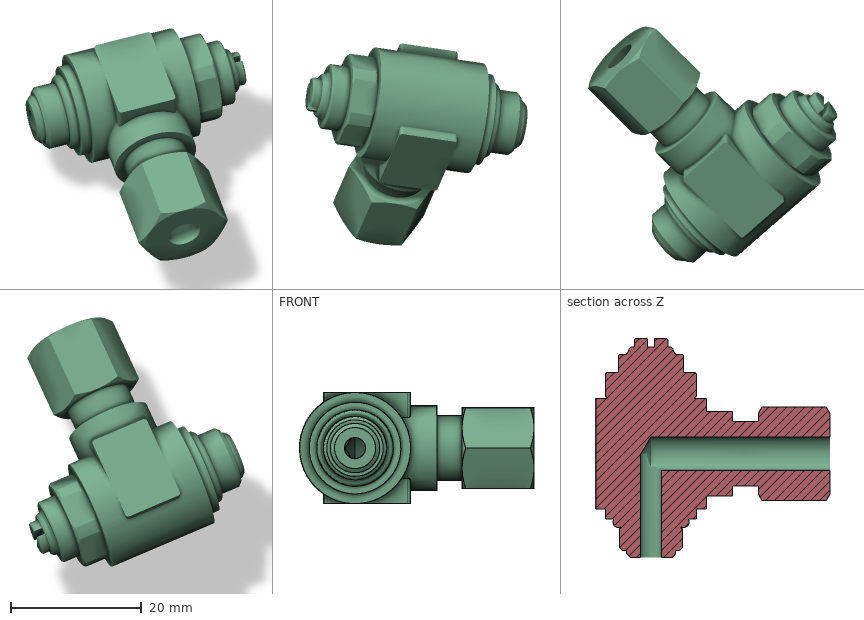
import cadquery as cq
import math


BODY_RADIUS = 8.5
BODY_HALF_LENGTH = 8.5
PAD_LEFT_X = -4.8
PAD_RIGHT_X = BODY_RADIUS
PAD_WIDTH = 9.1
PAD_CORNER_RADIUS = 0.5

COLLAR_RADIUS = 7.0
COLLAR_END_Y = -10.0
RING_OUTER_RADIUS = 5.85
RING_SECTION_RADIUS = 0.87
RING_CENTRE_Y = -10.44
NECK_RADIUS = 4.6
THREAD_RADIUS = 4.86
THREAD_START_Y = -11.35
THREAD_START_CHAMFER = 0.1
THREAD_END_Y = -14.85
THREAD_END_CHAMFER = 0.55
NOSE_RADIUS = 3.77
NOSE_END_Y = -15.93
NOSE_CHAMFER = 0.63
BORE_RADIUS = 1.6
PASSAGE_RADIUS = 2.5
DRILL_POINT_ANGLE = 118.0

LOCK_NUT_FLATS = 13.0
LOCK_NUT_RADIUS = 7.0
LOCK_NUT_END_Y = 12.5
LOCK_NUT_CHAMFER = 0.3
CAP_RADIUS = 5.0
CAP_END_Y = 15.22
CAP_CHAMFER = 0.2
SHOULDER_FOOT_RADIUS = 3.8
SHOULDER_WAIST_RADIUS = 3.5
SHOULDER_WAIST_Y = 15.6
SHOULDER_RIM_RADIUS = 3.37
SHOULDER_RIM_Y = 16.04
SHOULDER_TOP_RADIUS = 3.1
SHOULDER_END_Y = 16.34
SCREW_RADIUS = 2.6
SCREW_END_Y = 17.67
SCREW_CHAMFER = 0.22
SLOT_WIDTH = 1.0

BRANCH_COLLAR_RADIUS = 6.5
BRANCH_COLLAR_END_X = 12.5
BRANCH_NECK_RADIUS = 5.0
UNION_NUT_LENGTH = 11.0
UNION_NUT_END_X = 27.37
UNION_NUT_FLATS = 12.4
UNION_NUT_CHAMFER_ANGLE = 30.0


def cylinder_y(radius, start_y, end_y):
    """Cylinder on the Y axis between two Y positions."""
    length = end_y - start_y
    return cq.Workplane(cq.Solid.makeCylinder(radius, length, cq.Vector(0, start_y, 0), cq.Vector(0, 1, 0)))


def cylinder_x(radius, start_x, end_x):
    """Cylinder on the X axis between two X positions."""
    length = end_x - start_x
    return cq.Workplane(cq.Solid.makeCylinder(radius, length, cq.Vector(start_x, 0, 0), cq.Vector(1, 0, 0)))


def revolve_y(points):
    """Turned shape on the Y axis from (radius, Y) outline points."""
    return cq.Workplane("XY").polyline(points).close().revolve(360, (0, 0, 0), (0, 1, 0))


def hexagon_corner_radius(across_flats):
    """Distance from the centre of a hexagon to its corners."""
    return across_flats / 2 / math.cos(math.pi / 6)


def hexagon_prism(plane, across_flats, length):
    """Hexagonal prism with two of its flats facing +Z and -Z."""
    return plane.polygon(6, 2 * hexagon_corner_radius(across_flats)).extrude(length)


def make_body():
    body = cylinder_y(BODY_RADIUS, -BODY_HALF_LENGTH, BODY_HALF_LENGTH)
    pads = (
        cq.Workplane("XY")
        .box(PAD_RIGHT_X - PAD_LEFT_X, PAD_WIDTH, 2 * BODY_RADIUS)
        .edges("|Z")
        .fillet(PAD_CORNER_RADIUS)
        .translate(((PAD_LEFT_X + PAD_RIGHT_X) / 2, 0, 0))
    )
    return body.union(pads)


def make_threaded_end():
    collar = cylinder_y(COLLAR_RADIUS, COLLAR_END_Y, 0)
    thread_rim = THREAD_RADIUS - THREAD_START_CHAMFER
    thread_tip = THREAD_RADIUS - THREAD_END_CHAMFER
    spigot = revolve_y([
        (0, COLLAR_END_Y),
        (NECK_RADIUS, COLLAR_END_Y),
        (NECK_RADIUS, THREAD_START_Y),
        (thread_rim, THREAD_START_Y),
        (THREAD_RADIUS, THREAD_START_Y - THREAD_START_CHAMFER),
        (THREAD_RADIUS, THREAD_END_Y + THREAD_END_CHAMFER),
        (thread_tip, THREAD_END_Y),
        (NOSE_RADIUS, THREAD_END_Y),
        (NOSE_RADIUS, NOSE_END_Y + NOSE_CHAMFER),
        (NOSE_RADIUS - NOSE_CHAMFER, NOSE_END_Y),
        (0, NOSE_END_Y),
    ])
    return collar.union(spigot).union(make_seal_ring())


def make_seal_ring():
    """Round seal ring, partly sunk into the collar face."""
    centre_radius = RING_OUTER_RADIUS - RING_SECTION_RADIUS
    ring = cq.Solid.makeTorus(
        centre_radius, RING_SECTION_RADIUS, cq.Vector(0, RING_CENTRE_Y, 0), cq.Vector(0, 1, 0)
    )
    return cq.Workplane(ring)


def make_flow_channel():
    """Bore from the nose, meeting a passage drilled in from the outlet and ending in a drill point."""
    bore = cylinder_y(BORE_RADIUS, NOSE_END_Y, 0)
    point_length = PASSAGE_RADIUS / math.tan(math.radians(DRILL_POINT_ANGLE / 2))
    passage = (
        cq.Workplane("XZ")
        .polyline([
            (-point_length, 0),
            (0, PASSAGE_RADIUS),
            (UNION_NUT_END_X, PASSAGE_RADIUS),
            (UNION_NUT_END_X, 0),
        ])
        .close()
        .revolve(360, (0, 0, 0), (1, 0, 0))
    )
    return bore.union(passage)


def make_lock_nut():
    """Hexagon whose corners are rounded off by a chamfered cylinder."""
    length = LOCK_NUT_END_Y - BODY_HALF_LENGTH
    start_plane = cq.Workplane("XZ", origin=(0, LOCK_NUT_END_Y, 0))
    hexagon = hexagon_prism(start_plane, LOCK_NUT_FLATS, length)
    envelope = cylinder_y(LOCK_NUT_RADIUS, BODY_HALF_LENGTH, LOCK_NUT_END_Y)
    return hexagon.intersect(envelope.edges("%CIRCLE").chamfer(LOCK_NUT_CHAMFER))


def make_adjusting_end():
    stem = revolve_y([
        (0, 0),
        (CAP_RADIUS, 0),
        (CAP_RADIUS, CAP_END_Y - CAP_CHAMFER),
        (CAP_RADIUS - CAP_CHAMFER, CAP_END_Y),
        (SHOULDER_FOOT_RADIUS, CAP_END_Y),
        (SHOULDER_WAIST_RADIUS, SHOULDER_WAIST_Y),
        (SHOULDER_RIM_RADIUS, SHOULDER_RIM_Y),
        (SHOULDER_TOP_RADIUS, SHOULDER_END_Y),
        (SCREW_RADIUS, SHOULDER_END_Y),
        (SCREW_RADIUS, SCREW_END_Y - SCREW_CHAMFER),
        (SCREW_RADIUS - SCREW_CHAMFER, SCREW_END_Y),
        (0, SCREW_END_Y),
    ])
    slot_depth = SCREW_END_Y - SHOULDER_END_Y
    slot = (
        cq.Workplane("XY")
        .box(SLOT_WIDTH, slot_depth, 2 * CAP_RADIUS)
        .translate((0, SCREW_END_Y - slot_depth / 2, 0))
    )
    return make_lock_nut().union(stem.cut(slot))


def make_union_nut():
    """Hexagonal nut with both ends turned conically down to the width across flats."""
    start_x = UNION_NUT_END_X - UNION_NUT_LENGTH
    start_plane = cq.Workplane("YZ", origin=(start_x, 0, 0))
    hexagon = hexagon_prism(start_plane, UNION_NUT_FLATS, UNION_NUT_LENGTH)
    face_radius = UNION_NUT_FLATS / 2
    corner_radius = hexagon_corner_radius(UNION_NUT_FLATS)
    chamfer_length = (corner_radius - face_radius) * math.tan(math.radians(UNION_NUT_CHAMFER_ANGLE))
    envelope = (
        cq.Workplane("XY")
        .polyline([
            (start_x, 0),
            (start_x, face_radius),
            (start_x + chamfer_length, corner_radius),
            (UNION_NUT_END_X - chamfer_length, corner_radius),
            (UNION_NUT_END_X, face_radius),
            (UNION_NUT_END_X, 0),
        ])
        .close()
        .revolve(360, (0, 0, 0), (1, 0, 0))
    )
    return hexagon.intersect(envelope)


def make_branch():
    collar = cylinder_x(BRANCH_COLLAR_RADIUS, 0, BRANCH_COLLAR_END_X)
    neck = cylinder_x(BRANCH_NECK_RADIUS, 0, UNION_NUT_END_X - UNION_NUT_LENGTH)
    return collar.union(neck).union(make_union_nut())


result = (
    make_body()
    .union(make_branch())
    .union(make_threaded_end())
    .union(make_adjusting_end())
    .cut(make_flow_channel())
)